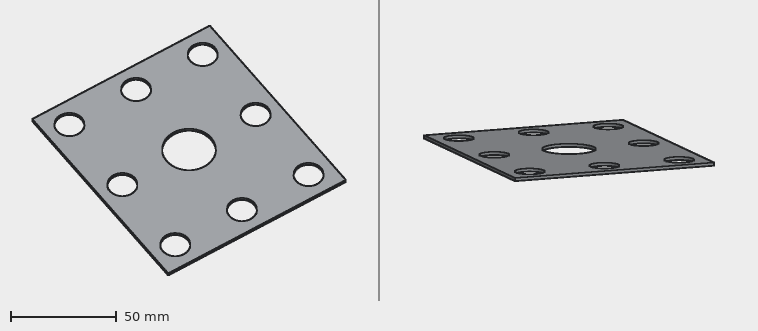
import cadquery as cq

length = 114.3
width = 101.6
thickness = 1.6

center_diameter = 25.4
outer_diameter = 14.2
edge_margin = 12.7
pitch_x = length / 2 - edge_margin
pitch_y = width / 2 - edge_margin

outer_positions = [
    (column * pitch_x, row * pitch_y)
    for column in (-1, 0, 1)
    for row in (-1, 0, 1)
    if (column, row) != (0, 0)
]

plate = cq.Workplane("XY").box(length, width, thickness)
plate = plate.faces(">Z").workplane(origin=(0, 0, 0)).hole(center_diameter)
result = plate.faces(">Z").workplane(origin=(0, 0, 0)).pushPoints(outer_positions).hole(outer_diameter)